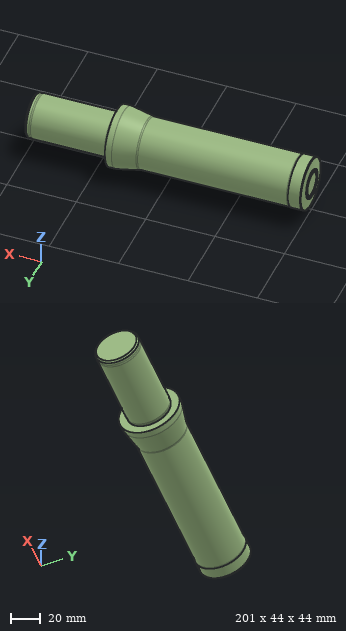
import cadquery as cq

total_length = 201.0
head_end = 10.0
body_start = 11.3
body_end = 118.5
flare_start = 119.5
flare_end = 136.0
flange_end = 140.7
shank_neck_end = 142.0
shank_start = 143.3
shank_end = 196.8
tail_start = 198.0

head_diameter = 37.5
body_diameter = 37.2
flange_diameter = 44.0
shank_diameter = 32.0
neck_diameter = 31.5

groove_inner_diameter = 16.5
groove_outer_diameter = 21.3
groove_depth = 0.6
groove_wall_run = 0.6
face_rim_diameter = 37.2
face_drop = 0.8
rim_chamfer_end = 1.5

flare_start_diameter = 37.8
flare_bulge = 0.2
tail_chamfer = 1.2

tip_x = -total_length / 2


def revolve_about_axis(profile):
    """Turn a closed half-profile, drawn as (axial, radial), about the X axis."""
    solid = profile.close().revolve(360, (0, 0, 0), (1, 0, 0))
    return solid.translate((tip_x, 0, 0))


def make_cutting_head():
    profile = (
        cq.Workplane("XY")
        .moveTo(0, 0)
        .lineTo(0, groove_inner_diameter / 2)
        .lineTo(groove_depth, groove_inner_diameter / 2 + groove_wall_run)
        .lineTo(groove_depth, groove_outer_diameter / 2 - groove_wall_run)
        .lineTo(0, groove_outer_diameter / 2)
        .lineTo(face_drop, face_rim_diameter / 2)
        .lineTo(rim_chamfer_end, head_diameter / 2)
        .lineTo(head_end, head_diameter / 2)
        .lineTo(head_end, 0)
    )
    return revolve_about_axis(profile)


def make_holder():
    flare_middle = (
        (flare_start + flare_end) / 2,
        (flare_start_diameter + flange_diameter) / 4 + flare_bulge,
    )
    profile = (
        cq.Workplane("XY")
        .moveTo(head_end, 0)
        .lineTo(head_end, head_diameter / 2)
        .lineTo(body_start, body_diameter / 2)
        .lineTo(body_end, body_diameter / 2)
        .lineTo(flare_start, flare_start_diameter / 2)
        .threePointArc(flare_middle, (flare_end, flange_diameter / 2))
        .lineTo(flange_end, flange_diameter / 2)
        .lineTo(flange_end, neck_diameter / 2)
        .lineTo(shank_neck_end, neck_diameter / 2)
        .lineTo(shank_start, shank_diameter / 2)
        .lineTo(shank_end, shank_diameter / 2)
        .lineTo(tail_start, neck_diameter / 2)
        .lineTo(total_length - tail_chamfer, neck_diameter / 2)
        .lineTo(total_length, neck_diameter / 2 - tail_chamfer)
        .lineTo(total_length, 0)
    )
    return revolve_about_axis(profile)


cutting_head = make_cutting_head()
holder = make_holder()

result = cq.Compound.makeCompound([cutting_head.val(), holder.val()])